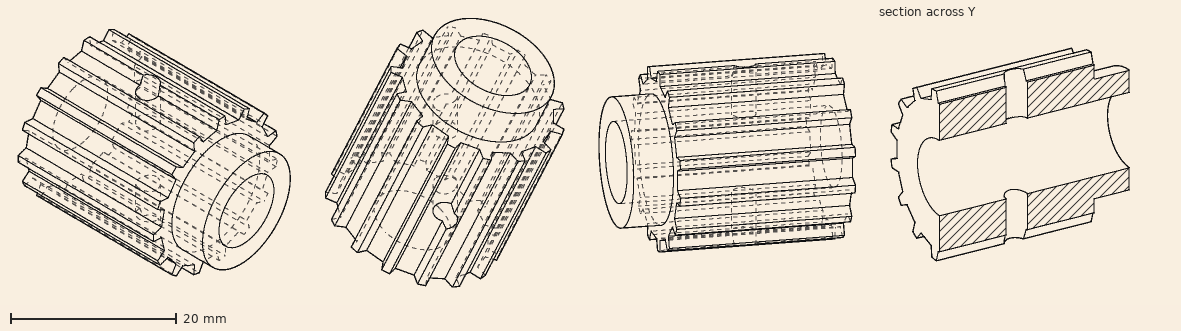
import cadquery as cq
import math

total_length = 27.0
hub_length = 5.0
toothed_length = total_length - hub_length

tip_radius = 11.3
hub_radius = 8.0
bore_radius = 5.0

tooth_count = 15
floor_distance = 9.8
floor_width = 2.45
opening_width = 3.65

cross_hole_diameter = 3.0


def tooth_blank():
    return cq.Workplane("YZ").circle(tip_radius).extrude(toothed_length)


def groove_cutter():
    """Trapezoidal prism along X, opening toward +Y beyond the tip circle."""
    half_floor = floor_width / 2
    half_opening = opening_width / 2
    opening_distance = math.sqrt(tip_radius**2 - half_opening**2)
    flank_slope = (half_opening - half_floor) / (opening_distance - floor_distance)
    outer_distance = tip_radius + 0.27
    half_outer = half_floor + flank_slope * (outer_distance - floor_distance)
    return (
        cq.Workplane("YZ")
        .polyline([
            (floor_distance, -half_floor),
            (outer_distance, -half_outer),
            (outer_distance, half_outer),
            (floor_distance, half_floor),
        ])
        .close()
        .extrude(toothed_length)
    )


def toothed_body():
    body = tooth_blank()
    cutter = groove_cutter()
    for i in range(tooth_count):
        angle = i * 360 / tooth_count
        body = body.cut(cutter.rotate((0, 0, 0), (1, 0, 0), angle))
    return body


def hub():
    return (
        cq.Workplane("YZ", origin=(toothed_length, 0, 0))
        .circle(hub_radius)
        .extrude(hub_length)
    )


def bore():
    return cq.Workplane("YZ").circle(bore_radius).extrude(total_length)


def cross_hole():
    return (
        cq.Workplane("XY", origin=(toothed_length / 2, 0, 0))
        .circle(cross_hole_diameter / 2)
        .extrude(tip_radius, both=True)
    )


result = toothed_body().union(hub()).cut(bore()).cut(cross_hole())